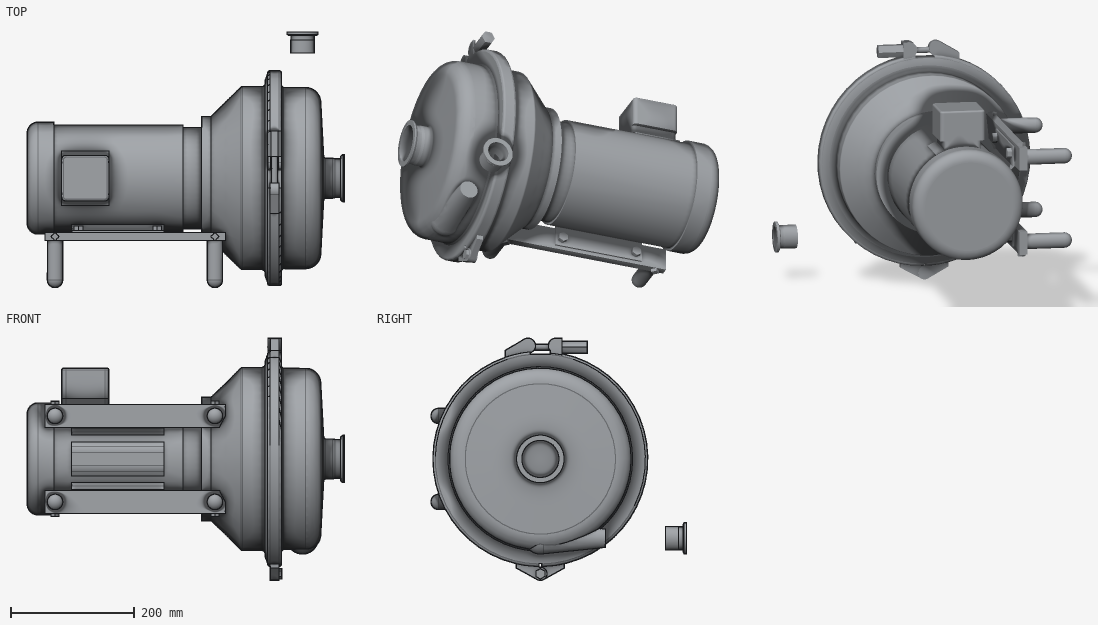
import cadquery as cq
import math


half_hex_angle = 30

cap_dia = 182.5
cap_len = 43.5
cap_fillet = 18.0
frame_dia = 173.0
frame_end = 253.5
neck_dia = 165.0
neck_end = 283.5
adapter_dia = 201.0
adapter_end = 299.0

back_dia = 298.0
cone_end = 348.5
cone_fillet = 4.0
flare_x = 386.5
flare_fillet = 5.0
flare_radius = 159.0
flange_start = 390.5
flange_end = 413.5
flange_dia = 340.0
front_dia = 295.0
front_root = 2.5
dome_start = 452.0
dome_fillet = 25.0
dome_end = 482.0

total_len = 515.5
spout_dia = 65.5
spout_fillet = 3.0
spout_taper_start = 496.0
spout_taper_end = 500.5
spout_end_dia = 63.5
spout_bore = 60.5
spout_rim_dia = 77.5
rim_start = 509.0
rim_edge = 2.5
rim_bevel_height = 3.85

outlet_x = 447.5
outlet_z = -129.0
outlet_root_radius = 26.0
outlet_tip_dia = 30.0
outlet_tip_y = 105.5

clamp_dia = 349.5
clamp_rounding = 4.0
clamp_depth = 7.5
clamp_top_gap = 32.0
clamp_hinge_gap = 4.0
clamp_gap_height = 31.0
clamp_x = (flange_start + flange_end) / 2
latch_z = 181.5
latch_top = 196.5
latch_radius = 12.5
latch_seat = 167.5
ear_tip_y = 13.0
ear_back_y = 35.5
ear_outer_width = 21.5
ear_gap = 13.5
rod_dia = 10.0
nut_flats = 19.5
nut_end_y = 76.5
lug_width = 14.5
lug_tip_y = -7.5
lug_heel_y = -57.0
lug_heel_z = 176.5
lug_heel_height = 20.5
hinge_z = -186.5
hinge_radius = 11.0
hinge_reach = 39.0
hinge_heel_z = -177.5
hinge_overlap = 5.0
hinge_inset = 2.0
hinge_nut_dia = 17.0
hinge_nut_height = 4.5

box_start = 56.0
box_end = 133.0
box_width = 74.0
box_bottom = 98.0
box_top = 147.5
box_corner = 6.5
box_top_fillet = 3.0
box_neck_width = 60.0
saddle_width = 88.5
saddle_dia = 177.5

bar_start = 29.0
bar_end = 322.0
bar_inner_z = 51.0
bar_outer_z = 88.5
bar_back_y = -88.0
bar_front_y = -101.5
bar_cut_len = 9.0
bar_cut_height = 16.0
leg_xs = (45.5, 305.0)
leg_z = (bar_inner_z + bar_outer_z) / 2
leg_dia = 25.0
leg_tip_y = -178.0
set_pin_diagonal = 13.5
set_pin_height = 5.0

foot_start = 72.0
foot_end = 222.5
foot_thickness = 3.0
foot_top_z = 83.0
foot_bend_z = 50.0
foot_bend = 6.5
foot_drop = 6.0
foot_edge_z = 38.0
foot_edge_y = -77.5
foot_seat_y = -75.0
foot_seat_z = 42.0
foot_bolt_xs = (83.5, 211.5)
foot_bolt_dia = 16.5
foot_bolt_height = 7.5
pad_front_y = -90.5
pad_flat = 11.0
pad_shoulder = 20.0
pad_slope = 35.0
pad_root_y = -77.5
pad_half_width = 28.0

ferrule_y = 237.5
ferrule_end_y = 203.0
ferrule_step_y = 224.5
ferrule_rim_dia = 50.5
ferrule_rim_edge = 4.0
ferrule_bevel_dia = 45.5
ferrule_bevel = 1.5
ferrule_collar_dia = 38.0
ferrule_tube_dia = 38.5
ferrule_bore = 35.0


def block(x0, x1, y0, y1, z0, z1):
    """Box between two opposite corners."""
    return cq.Workplane("XY").box(x1 - x0, y1 - y0, z1 - z0, centered=False).translate((x0, y0, z0))


def cylinder_x(dia, x0, x1):
    """Cylinder on the shaft axis from x0 to x1."""
    return cq.Workplane("YZ", origin=(x0, 0, 0)).circle(dia / 2).extrude(x1 - x0)


def turned(outline):
    """Revolve an outline of (x, radius) about the X axis."""
    return outline.close().revolve(360, (0, 0, 0), (1, 0, 0))


def clamp_plate(outline, width):
    """Extrude a closed (y, z) outline by a width centred on the clamp."""
    return outline.extrude(width).translate((clamp_x - width / 2, 0, 0))


def tangent_point(outside, center, radius, turn):
    """Point where a line from an outside point touches a circle; turn is +1 or -1 for the side it touches."""
    dy = outside[0] - center[0]
    dz = outside[1] - center[1]
    angle = math.atan2(dz, dy) + turn * math.acos(radius / math.hypot(dy, dz))
    return center[0] + radius * math.cos(angle), center[1] + radius * math.sin(angle)


def make_motor():
    """End cap with a rounded rim, frame, neck and the adapter plate that carries the pump."""
    cap = cylinder_x(cap_dia, 0, cap_len).faces("<X").edges().fillet(cap_fillet)
    frame = cylinder_x(frame_dia, cap_len, frame_end)
    neck = cylinder_x(neck_dia, frame_end, neck_end)
    adapter = cylinder_x(adapter_dia, neck_end, adapter_end)
    return cap.union(frame).union(neck).union(adapter)


def make_casing():
    """Conical back shell with its flange, and the domed front shell."""
    back_r = back_dia / 2
    cone_angle = math.atan2(back_r - adapter_dia / 2, cone_end - adapter_end)
    fillet_reach = cone_fillet * math.tan(cone_angle / 2)
    back = turned(
        cq.Workplane("XY")
        .moveTo(adapter_end, 0)
        .lineTo(adapter_end, adapter_dia / 2)
        .lineTo(cone_end - fillet_reach * math.cos(cone_angle), back_r - fillet_reach * math.sin(cone_angle))
        .tangentArcPoint((cone_end + fillet_reach, back_r), relative=False)
        .lineTo(flare_x - flare_fillet, back_r)
        .tangentArcPoint((flare_x, back_r + flare_fillet), relative=False)
        .lineTo(flare_x, flare_radius)
        .lineTo(flange_start, flange_dia / 2)
        .lineTo(flange_end, flange_dia / 2)
        .lineTo(flange_end, 0)
    )
    dome_mid = dome_fillet * math.sqrt(0.5)
    front = turned(
        cq.Workplane("XY")
        .moveTo(flange_end, 0)
        .lineTo(flange_end, front_dia / 2 + front_root)
        .lineTo(flange_end + front_root, front_dia / 2)
        .lineTo(dome_start, front_dia / 2)
        .threePointArc(
            (dome_start + dome_mid, front_dia / 2 - dome_fillet + dome_mid),
            (dome_start + dome_fillet, front_dia / 2 - dome_fillet),
        )
        .lineTo(dome_end, spout_dia / 2 + spout_fillet)
        .lineTo(dome_end, 0)
    )
    return back.union(front)


def make_spout():
    """Inlet spout with its rim; the bore reaches the casing face."""
    spout_r = spout_dia / 2
    end_r = spout_end_dia / 2
    rim_r = spout_rim_dia / 2
    return turned(
        cq.Workplane("XY")
        .moveTo(dome_end, 0)
        .lineTo(dome_end, spout_r + spout_fillet)
        .radiusArc((dome_end + spout_fillet, spout_r), -spout_fillet)
        .lineTo(spout_taper_start, spout_r)
        .lineTo(spout_taper_end, end_r)
        .lineTo(rim_start, end_r)
        .lineTo(rim_start, end_r + rim_bevel_height)
        .lineTo(total_len - rim_edge, rim_r)
        .lineTo(total_len, rim_r)
        .lineTo(total_len, spout_bore / 2)
        .lineTo(dome_end, spout_bore / 2)
    )


def make_outlet():
    """Tapered outlet branch, tangential to the casing, with a round root."""
    root = cq.Workplane("XY").sphere(outlet_root_radius).translate((outlet_x, 0, outlet_z))
    branch = cq.Solid.makeCone(
        outlet_root_radius,
        outlet_tip_dia / 2,
        outlet_tip_y,
        pnt=cq.Vector(outlet_x, 0, outlet_z),
        dir=cq.Vector(0, 1, 0),
    )
    return root.union(cq.Workplane(branch))


def make_clamp_ring():
    """Two half rings over the flange, parted at the latch and at the hinge."""
    ring = cylinder_x(clamp_dia, flange_start, flange_end).edges().fillet(clamp_rounding)
    ring = ring.cut(cylinder_x(clamp_dia - 2 * clamp_depth, flange_start, flange_end))
    gap_z = flange_dia / 2
    for width, z0 in ((clamp_top_gap, gap_z), (clamp_hinge_gap, -gap_z - clamp_gap_height)):
        ring = ring.cut(block(flange_start, flange_end, -width / 2, width / 2, z0, z0 + clamp_gap_height))
    return ring


def make_latch():
    """Forked ears, swing rod with its long nut, and the lug that holds the rod."""
    arc_z = latch_top - latch_radius
    ear_arc_y = ear_tip_y + latch_radius
    ear_neck_z = arc_z - math.sqrt(latch_radius**2 - (ear_arc_y - clamp_top_gap / 2) ** 2)
    ears = clamp_plate(
        cq.Workplane("YZ")
        .moveTo(ear_back_y, latch_seat)
        .lineTo(ear_back_y, latch_top)
        .lineTo(ear_arc_y, latch_top)
        .threePointArc((ear_tip_y, arc_z), (clamp_top_gap / 2, ear_neck_z))
        .lineTo(clamp_top_gap / 2, latch_seat)
        .close(),
        ear_outer_width,
    )
    slot_x = clamp_x - ear_gap / 2
    ears = ears.cut(block(slot_x, slot_x + ear_gap, 0, ear_back_y, clamp_dia / 2, latch_top))

    lug_arc_y = lug_tip_y - latch_radius
    lug_seat_z = lug_heel_z - lug_heel_height
    lug_neck_z = arc_z - math.sqrt(latch_radius**2 - (lug_arc_y + clamp_top_gap / 2) ** 2)
    lug = clamp_plate(
        cq.Workplane("YZ")
        .moveTo(lug_heel_y, lug_seat_z)
        .lineTo(lug_heel_y, lug_heel_z)
        .lineTo(*tangent_point((lug_heel_y, lug_heel_z), (lug_arc_y, arc_z), latch_radius, -1))
        .threePointArc((lug_tip_y, arc_z), (-clamp_top_gap / 2, lug_neck_z))
        .lineTo(-clamp_top_gap / 2, latch_seat)
        .close(),
        lug_width,
    )

    rod = (
        cq.Workplane("XZ", origin=(clamp_x, ear_back_y, latch_z))
        .circle(rod_dia / 2)
        .extrude(ear_back_y - lug_arc_y)
    )
    nut = (
        cq.Workplane("XZ", origin=(clamp_x, nut_end_y, latch_z))
        .polygon(6, nut_flats / math.cos(math.radians(half_hex_angle)))
        .extrude(nut_end_y - ear_back_y)
    )
    return ears.union(lug).union(rod).union(nut)


def hinge_lug(side, width):
    """Hinge lug whose lower edge runs tangent into its round knuckle; side is +1 or -1 along Y."""
    heel = (side * hinge_reach, hinge_heel_z)
    return clamp_plate(
        cq.Workplane("YZ")
        .moveTo(*tangent_point(heel, (0, hinge_z), hinge_radius, -side))
        .threePointArc((-side * hinge_radius, hinge_z), (0, hinge_z + hinge_radius))
        .lineTo(side * clamp_hinge_gap / 2, hinge_z + hinge_radius)
        .lineTo(side * clamp_hinge_gap / 2, -latch_seat)
        .lineTo(heel[0], -latch_seat + hinge_overlap)
        .lineTo(*heel)
        .close(),
        width,
    )


def make_hinge():
    """Two hinge lugs sharing one knuckle, with the hinge nut on the +X side."""
    nut = (
        cq.Workplane("YZ", origin=(clamp_x + lug_width / 2, 0, hinge_z))
        .polygon(6, hinge_nut_dia)
        .extrude(hinge_nut_height)
        .rotate((0, 0, hinge_z), (1, 0, hinge_z), half_hex_angle)
    )
    return hinge_lug(-1, lug_width).union(hinge_lug(1, lug_width - 2 * hinge_inset)).union(nut)


def make_terminal_box():
    """Rounded box on a narrower neck, seated on a curved saddle plate."""
    half = box_width / 2
    box = block(box_start, box_end, -half, half, box_bottom, box_top)
    box = box.edges("|Z").fillet(box_corner).faces(">Z").edges().fillet(box_top_fillet)
    neck_half = box_neck_width / 2
    neck = block(box_start, box_end, -neck_half, neck_half, 0, box_bottom).edges("|Z").fillet(box_corner)
    saddle = cylinder_x(saddle_dia, box_start, box_end)
    saddle_half = saddle_width / 2
    saddle = saddle.intersect(block(box_start, box_end, -saddle_half, saddle_half, 0, saddle_dia))
    return box.union(neck).union(saddle)


def make_support():
    """Upper support: bar, two round-tipped legs, square set pins and the bent motor foot."""
    support = (
        cq.Workplane("XZ", origin=(0, bar_back_y, 0))
        .moveTo(bar_start, bar_inner_z)
        .lineTo(bar_end - bar_cut_len, bar_inner_z)
        .lineTo(bar_end, bar_inner_z + bar_cut_height)
        .lineTo(bar_end, bar_outer_z)
        .lineTo(bar_start, bar_outer_z)
        .close()
        .extrude(bar_back_y - bar_front_y)
    )
    tip_y = leg_tip_y + leg_dia / 2
    bar_mid_y = (bar_back_y + bar_front_y) / 2
    for x in leg_xs:
        leg = cq.Workplane("XZ", origin=(x, bar_front_y, leg_z)).circle(leg_dia / 2).extrude(bar_front_y - tip_y)
        tip = cq.Workplane("XY").sphere(leg_dia / 2).translate((x, tip_y, leg_z))
        pin = (
            cq.Workplane("XY", origin=(x, bar_mid_y, bar_outer_z))
            .polygon(4, set_pin_diagonal)
            .extrude(set_pin_height)
        )
        support = support.union(leg).union(tip).union(pin)

    foot_back_y = bar_back_y + foot_thickness
    foot = (
        cq.Workplane("YZ", origin=(foot_start, 0, 0))
        .moveTo(bar_back_y, foot_top_z)
        .lineTo(foot_back_y, foot_top_z)
        .lineTo(foot_back_y, foot_bend_z)
        .lineTo(foot_seat_y, foot_seat_z)
        .lineTo(foot_seat_y, foot_edge_z)
        .lineTo(foot_edge_y, foot_edge_z)
        .lineTo(bar_back_y + foot_bend, foot_bend_z - foot_drop)
        .lineTo(bar_back_y, foot_bend_z)
        .close()
        .extrude(foot_end - foot_start)
    )
    support = support.union(foot)
    for x in foot_bolt_xs:
        bolt = (
            cq.Workplane("XZ", origin=(x, foot_back_y + foot_bolt_height, leg_z))
            .polygon(6, foot_bolt_dia)
            .extrude(foot_bolt_height)
            .rotate((x, 0, leg_z), (x, 1, leg_z), half_hex_angle)
        )
        support = support.union(bolt)
    return support


def make_pad():
    """Pad along the motor frame between the two feet: flat front, rounded shoulders, sloped sides."""
    slope = math.radians(pad_slope)
    shoulder_radius = (pad_shoulder - pad_flat) / math.sin(slope)
    shoulder_y = pad_front_y + shoulder_radius * (1 - math.cos(slope))
    side_y = shoulder_y + (pad_half_width - pad_shoulder) * math.tan(slope)
    upper = (
        cq.Workplane("YZ", origin=(foot_start, 0, 0))
        .moveTo(pad_front_y, 0)
        .lineTo(pad_front_y, pad_flat)
        .tangentArcPoint((shoulder_y, pad_shoulder), relative=False)
        .lineTo(side_y, pad_half_width)
        .lineTo(pad_root_y, pad_half_width)
        .lineTo(pad_root_y, 0)
        .close()
        .extrude(foot_end - foot_start)
    )
    return upper.union(upper.mirror("XY"))


def make_pump():
    """Motor, pump, clamp and supports as one solid; the supports mirror each other in Z."""
    upper_support = make_support()
    return (
        make_motor()
        .union(make_casing())
        .union(make_spout())
        .union(make_outlet())
        .union(make_clamp_ring())
        .union(make_latch())
        .union(make_hinge())
        .union(make_terminal_box())
        .union(upper_support)
        .union(upper_support.mirror("XY"))
        .union(make_pad())
    )


def make_ferrule():
    """Loose pipe ferrule, coaxial with the outlet branch."""
    rim_back = ferrule_y - ferrule_rim_edge
    return (
        cq.Workplane("XY")
        .moveTo(ferrule_bore / 2, ferrule_y)
        .lineTo(ferrule_rim_dia / 2, ferrule_y)
        .lineTo(ferrule_rim_dia / 2, rim_back)
        .lineTo(ferrule_bevel_dia / 2, rim_back - ferrule_bevel)
        .lineTo(ferrule_collar_dia / 2, rim_back - ferrule_bevel)
        .lineTo(ferrule_collar_dia / 2, ferrule_step_y)
        .lineTo(ferrule_tube_dia / 2, ferrule_step_y)
        .lineTo(ferrule_tube_dia / 2, ferrule_end_y)
        .lineTo(ferrule_bore / 2, ferrule_end_y)
        .close()
        .revolve(360, (0, 0, 0), (0, 1, 0))
        .translate((outlet_x, 0, outlet_z))
    )


pump = make_pump()
ferrule = make_ferrule()

result = cq.Compound.makeCompound([pump.solids().val(), ferrule.val()])